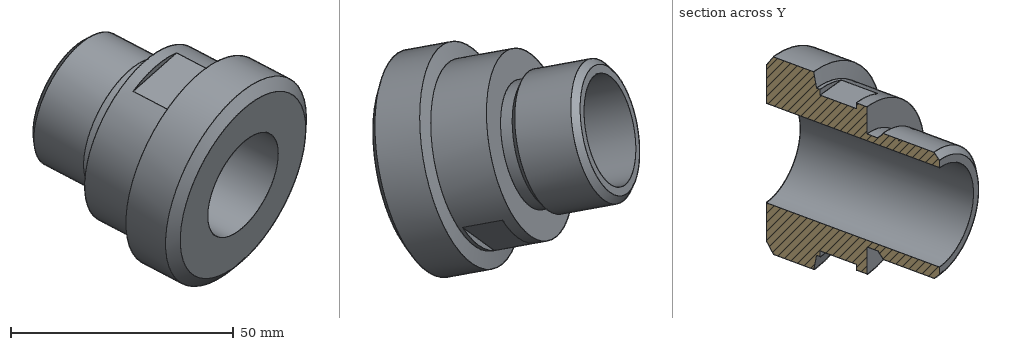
import cadquery as cq

bore_diameter = 26.0
nose_diameter = 30.0
groove_diameter = 29.8
spigot_diameter = 33.25
body_diameter = 44.0
flange_diameter = 52.0
flange_end_diameter = 46.3

length = 48.0
spigot_chamfer = 1.5
groove_start = 17.1
body_start = 20.0
flange_start = 34.0
flange_front_taper = 0.8
flange_back_chamfer = 2.0

flat_start = 23.05
flat_length = 10.0
across_flats = 41.0

x_start = -length / 2


def turned_body():
    """Revolve the stepped half-section, including the bore, about the X axis."""
    stations = [
        (0, bore_diameter),
        (0, nose_diameter),
        (spigot_chamfer, spigot_diameter),
        (groove_start - spigot_chamfer, spigot_diameter),
        (groove_start, groove_diameter),
        (body_start, groove_diameter),
        (body_start, body_diameter),
        (flange_start, body_diameter),
        (flange_start + flange_front_taper, flange_diameter),
        (length - flange_back_chamfer, flange_diameter),
        (length, flange_end_diameter),
        (length, bore_diameter),
    ]
    section = [(x_start + x, diameter / 2) for x, diameter in stations]
    return cq.Workplane("XY").polyline(section).close().revolve(360, (0, 0, 0), (1, 0, 0))


def flat_cutter(side):
    """Block outside one flat; side is +1 for the top and -1 for the bottom."""
    depth = (flange_diameter - across_flats) / 2
    return cq.Workplane("XY").box(flat_length, body_diameter, depth).translate(
        (x_start + flat_start + flat_length / 2, 0, side * (across_flats + depth) / 2)
    )


result = turned_body()
for side in (1, -1):
    result = result.cut(flat_cutter(side))